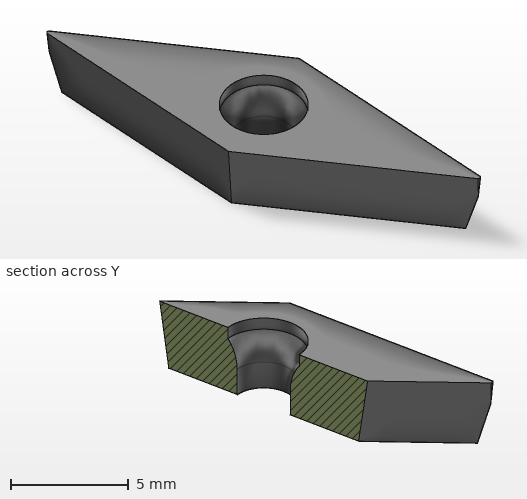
import cadquery as cq
import math

length = 19.7
width = 6.35
thickness = 3.17
nose_angle = math.radians(35)
relief = math.tan(math.radians(5))

bore_radius = 1.4
seat_radius = 1.9
seat_straight_depth = 0.55
seat_curve_radius = 2.07

nose_to_tip = 1 / math.tan(nose_angle / 2)
side_length = width / math.sin(nose_angle)
sharp_length = side_length * (1 + math.cos(nose_angle))
nose_radius = (sharp_length - length) / 2 / (nose_to_tip - 1)
nose_depth = nose_radius / relief


def rhombus(inset, z):
    """Closed wire of the sharp rhombus, with every side moved in by inset."""
    half_width = width / 2 - inset
    tip_x = sharp_length / 2 - inset * nose_to_tip
    blunt_x = tip_x - 2 * half_width / math.sin(nose_angle)
    corners = [
        (-tip_x, -half_width),
        (-blunt_x, -half_width),
        (tip_x, half_width),
        (blunt_x, half_width),
    ]
    return cq.Wire.makePolygon([cq.Vector(x, y, z) for x, y in corners], close=True)


def tapered_body():
    """Rhombus whose sides lean in towards the bottom by the relief angle."""
    bottom = rhombus(thickness * relief, 0)
    top = rhombus(0, thickness)
    return cq.Workplane(obj=cq.Solid.makeLoft([bottom, top], True))


def nose_waste():
    """Material outside the nose cone at the lower left tip."""
    apex_z = thickness - nose_depth
    centre_x = -sharp_length / 2 + nose_radius * nose_to_tip
    centre_y = -width / 2 + nose_radius
    apex = cq.Vector(centre_x, centre_y, apex_z)
    tip = cq.Vector(-sharp_length / 2, -width / 2, thickness)
    base_touch = cq.Vector(centre_x, -width / 2, thickness)
    slant_touch = cq.Vector(
        centre_x - nose_radius * math.sin(nose_angle),
        centre_y + nose_radius * math.cos(nose_angle),
        thickness,
    )
    corners = [base_touch, tip, slant_touch, cq.Vector(centre_x, centre_y, thickness)]
    outline = cq.Wire.makePolygon(corners, close=True)
    faces = [cq.Face.makeFromWires(outline)]
    for start, end in zip(corners, corners[1:] + corners[:1]):
        faces.append(cq.Face.makeFromWires(cq.Wire.makePolygon([start, end, apex], close=True)))
    wedge = cq.Solid.makeSolid(cq.Shell.makeShell(faces))
    cone = cq.Solid.makeCone(0, nose_radius, nose_depth, apex)
    return cq.Workplane(obj=wedge).cut(cq.Workplane(obj=cone))


def screw_hole():
    """Straight seat, then a curve that flows smoothly into the bore."""
    curve_top = thickness - seat_straight_depth
    curve_centre_x = bore_radius + seat_curve_radius
    sweep = math.acos((curve_centre_x - seat_radius) / seat_curve_radius)
    curve_bottom = curve_top - seat_curve_radius * math.sin(sweep)
    middle = (
        curve_centre_x - seat_curve_radius * math.cos(sweep / 2),
        curve_bottom + seat_curve_radius * math.sin(sweep / 2),
    )
    return (
        cq.Workplane("XZ")
        .lineTo(bore_radius, 0)
        .lineTo(bore_radius, curve_bottom)
        .threePointArc(middle, (seat_radius, curve_top))
        .lineTo(seat_radius, thickness)
        .lineTo(0, thickness)
        .close()
        .revolve(360, (0, 0, 0), (0, 1, 0))
    )


result = tapered_body()
for turn in (0, 180):
    result = result.cut(nose_waste().rotate((0, 0, 0), (0, 0, 1), turn))
result = result.cut(screw_hole())